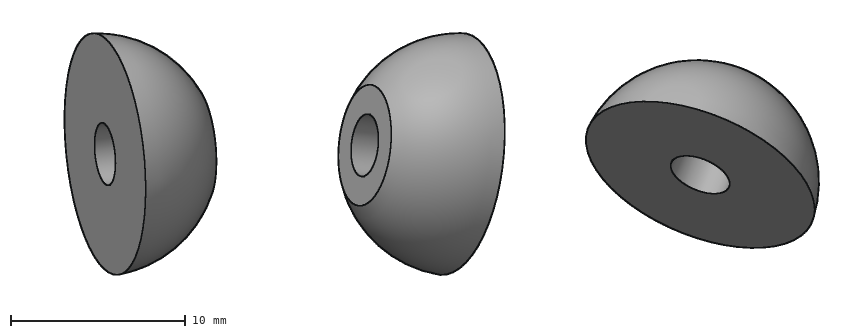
import cadquery as cq
import math

base_diameter = 13.96
height = 5.55
flat_diameter = 6.98
hole_diameter = 3.6

base_radius = base_diameter / 2
flat_radius = flat_diameter / 2
hole_radius = hole_diameter / 2

center_y = (flat_radius**2 + height**2 - base_radius**2) / (2 * height)
sphere_radius = math.hypot(base_radius, center_y)

middle_y = height / 2
middle_radius = math.sqrt(sphere_radius**2 - (middle_y - center_y) ** 2)

section = (
    cq.Workplane("XY")
    .moveTo(hole_radius, 0)
    .lineTo(base_radius, 0)
    .threePointArc((middle_radius, middle_y), (flat_radius, height))
    .lineTo(hole_radius, height)
    .close()
)

result = section.revolve(360, (0, 0, 0), (0, 1, 0))